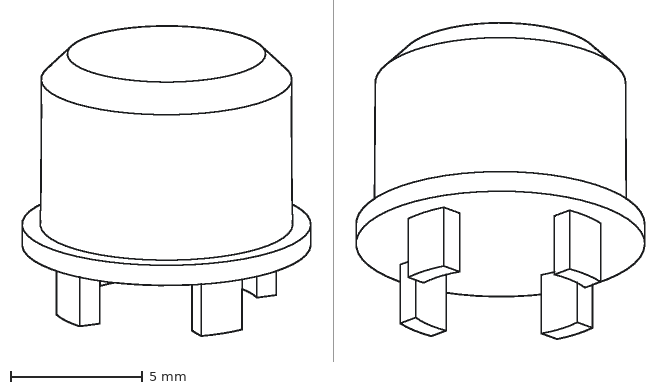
import cadquery as cq
import math

total_height = 9.96
leg_height = 2.4
flange_thickness = 0.8
chamfer_size = 1.0

flange_radius = 5.5
body_base_radius = 4.8
body_top_radius = 4.77

leg_count = 4
leg_outer_radius = 4.39
leg_inner_radius = 3.57
leg_long_side = 1.2
leg_short_side = 0.59

flange_top = leg_height + flange_thickness
shoulder_height = total_height - chamfer_size


def make_cap():
    """Solid flange, slightly tapered body and conical top edge, revolved about Z."""
    return (
        cq.Workplane("XZ")
        .moveTo(0, leg_height)
        .lineTo(flange_radius, leg_height)
        .lineTo(flange_radius, flange_top)
        .lineTo(body_base_radius, flange_top)
        .lineTo(body_top_radius, shoulder_height)
        .lineTo(body_top_radius - chamfer_size, total_height)
        .lineTo(0, total_height)
        .close()
        .revolve(360, (0, 0, 0), (0, 1, 0))
    )


def distance_on_circle(radius, offset):
    """Distance along the leg's axis to a circle, at a sideways offset."""
    return math.sqrt(radius**2 - offset**2)


def make_leg():
    """Leg on the -Y side, off-centre towards +X."""
    left, right = -leg_short_side, leg_long_side
    outer, inner = leg_outer_radius, leg_inner_radius
    return (
        cq.Workplane("XY")
        .moveTo(left, -distance_on_circle(outer, left))
        .threePointArc((0, -outer), (right, -distance_on_circle(outer, right)))
        .lineTo(right, -distance_on_circle(inner, right))
        .threePointArc((0, -inner), (left, -distance_on_circle(inner, left)))
        .close()
        .extrude(leg_height)
    )


result = make_cap()
for index in range(leg_count):
    angle = index * 360 / leg_count
    result = result.union(make_leg().rotate((0, 0, 0), (0, 0, 1), angle))